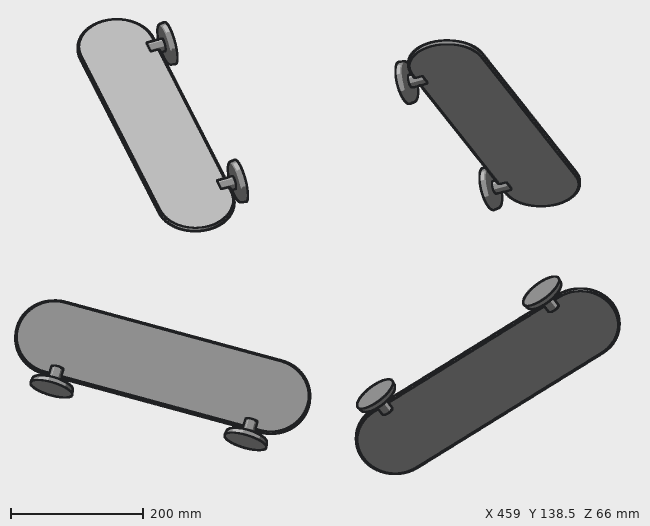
import cadquery as cq
import math

shelf_length = 459.0
shelf_width = 119.0
shelf_thickness = 7.5
edge_arc_diameter = 8.0

overall_depth = 138.5
bracket_spacing = 305.0
rose_diameter = 66.0
rose_rim_diameter = 64.3
rose_rim_depth = 6.5
rose_rim_round = 3.0
rose_face_rise = 1.0
post_diameter = 20.0
post_reach = 34.5
post_end_round = 1.0

end_radius = shelf_width / 2
end_center_x = shelf_length / 2 - end_radius
wall_y = overall_depth - shelf_width / 2


def make_shelf():
    """Straight middle with a bulged edge, closed by two revolved semicircular ends."""
    half_thickness = shelf_thickness / 2
    edge_radius = edge_arc_diameter / 2
    edge_bulge = edge_radius - math.sqrt(edge_radius**2 - half_thickness**2)
    flat_reach = end_radius - edge_bulge
    middle = (
        cq.Workplane("YZ")
        .moveTo(-flat_reach, -half_thickness)
        .lineTo(flat_reach, -half_thickness)
        .threePointArc((end_radius, 0), (flat_reach, half_thickness))
        .lineTo(-flat_reach, half_thickness)
        .threePointArc((-end_radius, 0), (-flat_reach, -half_thickness))
        .close()
        .extrude(end_center_x, both=True)
    )
    end = (
        cq.Workplane("XZ")
        .moveTo(0, -half_thickness)
        .lineTo(flat_reach, -half_thickness)
        .threePointArc((end_radius, 0), (flat_reach, half_thickness))
        .lineTo(0, half_thickness)
        .close()
        .revolve(360, (0, 0, 0), (0, 1, 0))
    )
    left_end = end.translate((-end_center_x, 0, 0))
    right_end = end.translate((end_center_x, 0, 0))
    return middle.union(left_end).union(right_end)


def make_bracket(x):
    """Rose and post, revolved about the post axis and standing off the wall."""
    rim_radius = rose_rim_diameter / 2
    post_radius = post_diameter / 2
    shoulder_depth = rose_rim_depth + rose_rim_round
    diagonal = math.sqrt(0.5)
    rim_corner_cut = rose_rim_round * (1 - diagonal)
    post_corner_cut = post_end_round * (1 - diagonal)
    profile = (
        cq.Workplane("XY")
        .lineTo(rose_diameter / 2, 0)
        .lineTo(rim_radius, -rose_rim_depth)
        .threePointArc(
            (rim_radius - rim_corner_cut, rim_corner_cut - shoulder_depth),
            (rim_radius - rose_rim_round, -shoulder_depth),
        )
        .lineTo(post_radius, -shoulder_depth - rose_face_rise)
        .lineTo(post_radius, post_end_round - post_reach)
        .threePointArc(
            (post_radius - post_corner_cut, post_corner_cut - post_reach),
            (post_radius - post_end_round, -post_reach),
        )
        .lineTo(0, -post_reach)
        .close()
    )
    bracket = profile.revolve(360, (0, 0, 0), (0, 1, 0))
    return bracket.translate((x, wall_y, 0))


result = make_shelf()
for side in (-1, 1):
    result = result.union(make_bracket(side * bracket_spacing / 2))